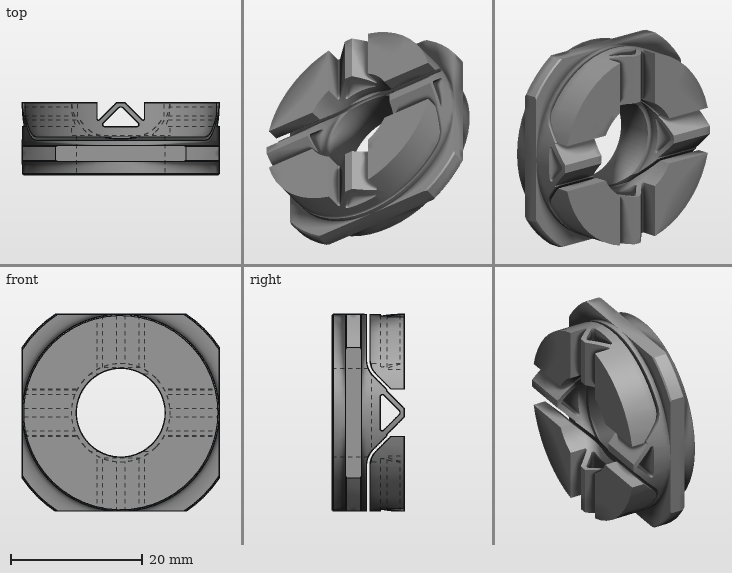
import cadquery as cq
import math

outer_radius = 15.0
bore_radius = 6.75
counterbore_radius = 7.5
counterbore_floor = 6.0
total_depth = 11.0
edge_chamfer = 0.2

flange_front = 2.0
flange_back = 4.5
flange_corner_radius = 18.0
flange_width = 2 * outer_radius

gap_width = 0.5
gap_front = 5.25
gap_back = gap_front + gap_width
segment_corner_radius = 3.0
tab_root_radius = segment_corner_radius + gap_width

tab_half_width_at_back = 0.85
gap_half_width_at_back = tab_half_width_at_back + gap_width * math.sqrt(2)

arch_tip_half_width = 0.63
notch_half_width = 3.6
notch_bottom_radius = 0.2
window_base = 7.35
window_apex_to_back = 0.48
window_apex_radius = 0.5
window_corner_radius = 0.3

cutter_reach = flange_corner_radius


def ring(radius, front, back):
    """Solid disc around the Y axis between two depths."""
    plane = cq.Workplane("XZ", origin=(0, back, 0))
    return plane.circle(radius).extrude(back - front)


def make_notch():
    """V notch with one upright wall and one 45 degree wall, on the +X side of an arch."""
    depth = notch_half_width - arch_tip_half_width
    outline = [
        (arch_tip_half_width, total_depth),
        (notch_half_width, total_depth),
        (notch_half_width, total_depth - depth),
    ]
    notch = cq.Workplane("XY").polyline(outline).close().extrude(cutter_reach)
    return notch.edges("|Z and <Y").fillet(notch_bottom_radius)


def make_window():
    """Triangular window with rounded corners below an arch."""
    apex = total_depth - window_apex_to_back
    half_base = apex - window_base
    outline = [(-half_base, window_base), (half_base, window_base), (0, apex)]
    window = cq.Workplane("XY").polyline(outline).close().extrude(cutter_reach)
    window = window.edges("|Z and >Y").fillet(window_apex_radius)
    return window.edges("|Z and <Y").fillet(window_corner_radius)


def make_sleeve():
    """Round back part with the four arches, before the gap divides it."""
    sleeve = ring(outer_radius, flange_back, total_depth)
    notch = make_notch()
    cutters = [notch, notch.mirror("YZ"), make_window()]
    for angle in (0, 90, 180, 270):
        for cutter in cutters:
            sleeve = sleeve.cut(cutter.rotate((0, 0, 0), (0, 1, 0), angle))
    return sleeve


def make_tab_zone():
    """Space in front of the gap: a full-width base that narrows to a tab at Z = 0."""
    root_half_width = tab_half_width_at_back + total_depth - gap_front
    outline = [
        (flange_back, -cutter_reach),
        (gap_front, -cutter_reach),
        (gap_front, -root_half_width),
        (total_depth, -tab_half_width_at_back),
        (total_depth, tab_half_width_at_back),
        (gap_front, root_half_width),
        (gap_front, cutter_reach),
        (flange_back, cutter_reach),
    ]
    zone = cq.Workplane("YZ").polyline(outline).close().extrude(cutter_reach, both=True)
    upper_root = cq.selectors.NearestToPointSelector((0, gap_front, root_half_width))
    lower_root = cq.selectors.NearestToPointSelector((0, gap_front, -root_half_width))
    return zone.edges("|X").edges(upper_root + lower_root).fillet(tab_root_radius)


def make_segment_zone():
    """Space behind the gap on the +Z side."""
    corner_height = gap_half_width_at_back + total_depth - gap_back
    outline = [
        (total_depth, gap_half_width_at_back),
        (gap_back, corner_height),
        (gap_back, cutter_reach),
        (total_depth, cutter_reach),
    ]
    zone = cq.Workplane("YZ").polyline(outline).close().extrude(cutter_reach, both=True)
    corner = cq.selectors.NearestToPointSelector((0, gap_back, corner_height))
    return zone.edges("|X").edges(corner).fillet(segment_corner_radius)


def make_flange():
    """Chamfered disc trimmed to a square."""
    flange_depth = flange_back - flange_front
    disc = ring(flange_corner_radius, flange_front, flange_back).edges().chamfer(edge_chamfer)
    square = cq.Workplane("XZ", origin=(0, flange_back, 0)).rect(flange_width, flange_width)
    return disc.intersect(square.extrude(flange_depth))


bore = ring(bore_radius, 0, total_depth)
counterbore = ring(counterbore_radius, counterbore_floor, total_depth)
sleeve = make_sleeve().cut(bore).cut(counterbore)

front_disc = ring(outer_radius, 0, flange_front).faces("<Y").edges().chamfer(edge_chamfer)
housing = front_disc.union(make_flange()).cut(bore)
housing = housing.union(sleeve.intersect(make_tab_zone()))

segment_shape = sleeve.intersect(make_segment_zone())
segments = []
for angle in (0, 180):
    segments.extend(segment_shape.rotate((0, 0, 0), (0, 1, 0), angle).solids().vals())

result = cq.Compound.makeCompound([housing.solids().val(), *segments])